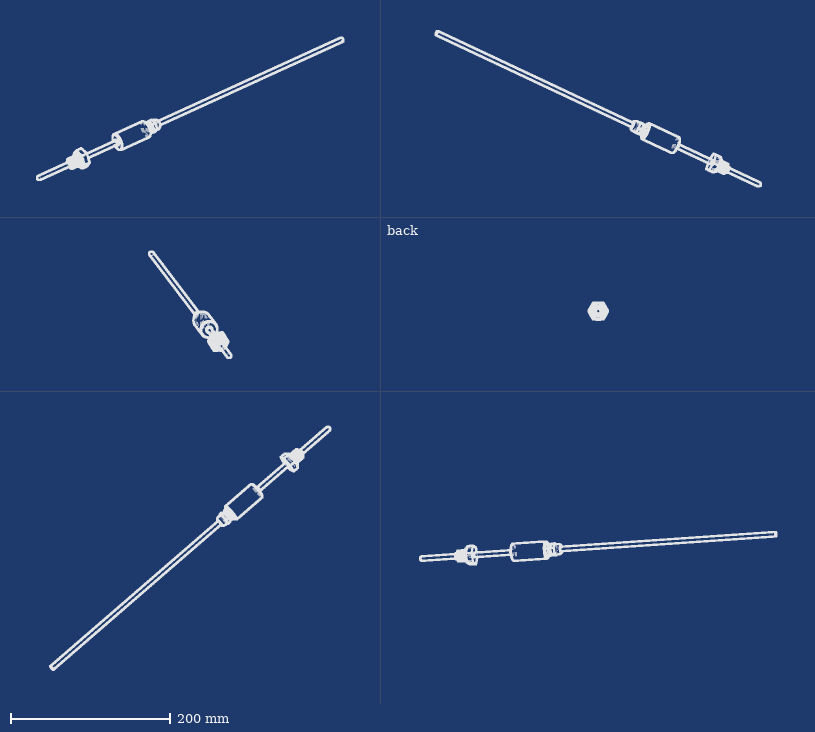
import cadquery as cq
import math

OVERALL_LENGTH = 469.0

PROBE_RADIUS = 3.0
HOUSING_DIAMETER = 22.0
HOUSING_FRONT = 122.5
HOUSING_BACK = 167.5
HOUSING_CHAMFER = 1.0
COLLAR_RADIUS = 4.0
COLLAR_LENGTH = 2.5

FITTING_BACK = 71.8
FITTING_HEX_FLATS = 21.5
FITTING_HEX_LENGTH = 8.0
HEX_CHAMFER_ANGLE = 30.0
FLANGE_RADIUS = 10.0
FLANGE_LENGTH = 2.5
FLANGE_CHAMFER = 1.0
NECK_RADIUS = 5.5
NECK_LENGTH = 2.0
THREAD_RADIUS = 7.0
THREAD_PITCH = 1.5
THREAD_TURNS = 7
THREAD_DEPTH = 1.5

CABLE_RADIUS = 3.0
GLAND_HEX_FLATS = 14.0
GLAND_BASE_LENGTH = 3.5
GLAND_NECK_RADIUS = 6.5
GLAND_NECK_LENGTH = 1.5
GLAND_ROUND_DIAMETER = 13.5
GLAND_ROUND_RADIUS = GLAND_ROUND_DIAMETER / 2
GLAND_COLLAR_LENGTH = 2.0
GLAND_NUT_LENGTH = 4.5
GLAND_SLEEVE_LENGTH = 3.0
GLAND_DOME_LENGTH = 4.0
GLAND_DOME_END_RADIUS = 5.0


def cylinder(radius, y_start, y_end):
    """A cylinder on the Y axis between two Y positions."""
    length = y_end - y_start
    return cq.Workplane(cq.Solid.makeCylinder(radius, length, cq.Vector(0, y_start, 0), cq.Vector(0, 1, 0)))


def revolved(profile):
    """Turn a closed (radius, Y) profile about the Y axis."""
    return profile.close().revolve(360, (0, 0, 0), (0, 1, 0))


def hexagon(flats, y_start, y_end):
    """A hexagonal prism on the Y axis, with two corners on the X axis."""
    corner_diameter = 2 * flats / math.sqrt(3)
    prism = cq.Workplane("XZ").polygon(6, corner_diameter).extrude(y_start - y_end)
    return prism.translate((0, y_start, 0))


def chamfered_hexagon(flats, y_start, y_end):
    """A hexagonal prism whose corners are turned off conically at the low-Y end."""
    flat_radius = flats / 2
    corner_radius = flats / math.sqrt(3)
    rise = (corner_radius - flat_radius) * math.tan(math.radians(HEX_CHAMFER_ANGLE))
    envelope = revolved(
        cq.Workplane("XY")
        .moveTo(0, y_start)
        .lineTo(flat_radius, y_start)
        .lineTo(corner_radius, y_start + rise)
        .lineTo(corner_radius, y_end)
        .lineTo(0, y_end)
    )
    return hexagon(flats, y_start, y_end).intersect(envelope)


def make_sensor():
    """Housing, its short front collar and the round-nosed probe."""
    housing = cylinder(HOUSING_DIAMETER / 2, HOUSING_FRONT, HOUSING_BACK).edges().chamfer(HOUSING_CHAMFER)
    collar = cylinder(COLLAR_RADIUS, HOUSING_FRONT - COLLAR_LENGTH, HOUSING_FRONT)
    diagonal = PROBE_RADIUS * math.sqrt(0.5)
    probe = revolved(
        cq.Workplane("XY")
        .threePointArc((diagonal, PROBE_RADIUS - diagonal), (PROBE_RADIUS, PROBE_RADIUS))
        .lineTo(PROBE_RADIUS, HOUSING_FRONT)
        .lineTo(0, HOUSING_FRONT)
    )
    return housing.union(collar).union(probe)


def make_thread(y_end):
    """A row of ring-shaped V ridges that ends at the neck, at y_end."""
    root_radius = THREAD_RADIUS - THREAD_DEPTH
    y_start = y_end - THREAD_TURNS * THREAD_PITCH
    profile = cq.Workplane("XY").moveTo(0, y_start).lineTo(root_radius, y_start)
    for turn in range(THREAD_TURNS):
        turn_start = y_start + turn * THREAD_PITCH
        profile = profile.lineTo(THREAD_RADIUS, turn_start + THREAD_PITCH / 2)
        profile = profile.lineTo(root_radius, turn_start + THREAD_PITCH)
    return revolved(profile.lineTo(0, y_end))


def make_fitting():
    """Hexagon, flange, neck, thread and end collar, bored to fit the probe."""
    hex_front = FITTING_BACK - FITTING_HEX_LENGTH
    flange_front = hex_front - FLANGE_LENGTH
    neck_front = flange_front - NECK_LENGTH
    thread_front = neck_front - THREAD_TURNS * THREAD_PITCH
    collar_front = thread_front - COLLAR_LENGTH

    flange = cylinder(FLANGE_RADIUS, flange_front, hex_front).faces("<Y").chamfer(FLANGE_CHAMFER)
    fitting = (
        chamfered_hexagon(FITTING_HEX_FLATS, hex_front, FITTING_BACK)
        .union(flange)
        .union(cylinder(NECK_RADIUS, neck_front, flange_front))
        .union(make_thread(neck_front))
        .union(cylinder(COLLAR_RADIUS, collar_front, thread_front))
    )
    return fitting.cut(cylinder(PROBE_RADIUS, collar_front, FITTING_BACK))


def make_cable():
    """Cable with its gland, standing on the back face of the housing."""
    base_back = HOUSING_BACK + GLAND_BASE_LENGTH
    neck_back = base_back + GLAND_NECK_LENGTH
    collar_back = neck_back + GLAND_COLLAR_LENGTH
    nut_back = collar_back + GLAND_NUT_LENGTH
    sleeve_back = nut_back + GLAND_SLEEVE_LENGTH
    gland_back = sleeve_back + GLAND_DOME_LENGTH

    dome_drop = GLAND_ROUND_RADIUS - GLAND_DOME_END_RADIUS
    arc_radius = (GLAND_DOME_LENGTH**2 + dome_drop**2) / (2 * dome_drop)
    half_angle = math.asin(GLAND_DOME_LENGTH / arc_radius) / 2
    dome_middle = (
        GLAND_ROUND_RADIUS - arc_radius * (1 - math.cos(half_angle)),
        sleeve_back + arc_radius * math.sin(half_angle),
    )
    dome = revolved(
        cq.Workplane("XY")
        .moveTo(0, sleeve_back)
        .lineTo(GLAND_ROUND_RADIUS, sleeve_back)
        .threePointArc(dome_middle, (GLAND_DOME_END_RADIUS, gland_back))
        .lineTo(0, gland_back)
    )
    return (
        hexagon(GLAND_HEX_FLATS, HOUSING_BACK, base_back)
        .union(cylinder(GLAND_NECK_RADIUS, base_back, neck_back))
        .union(cylinder(GLAND_ROUND_RADIUS, neck_back, collar_back))
        .union(chamfered_hexagon(GLAND_HEX_FLATS, collar_back, nut_back))
        .union(cylinder(GLAND_ROUND_RADIUS, nut_back, sleeve_back))
        .union(dome)
        .union(cylinder(CABLE_RADIUS, gland_back, OVERALL_LENGTH))
    )


sensor = make_sensor().solids().val()
fitting = make_fitting().solids().val()
cable = make_cable().solids().val()

result = cq.Compound.makeCompound([sensor, fitting, cable])